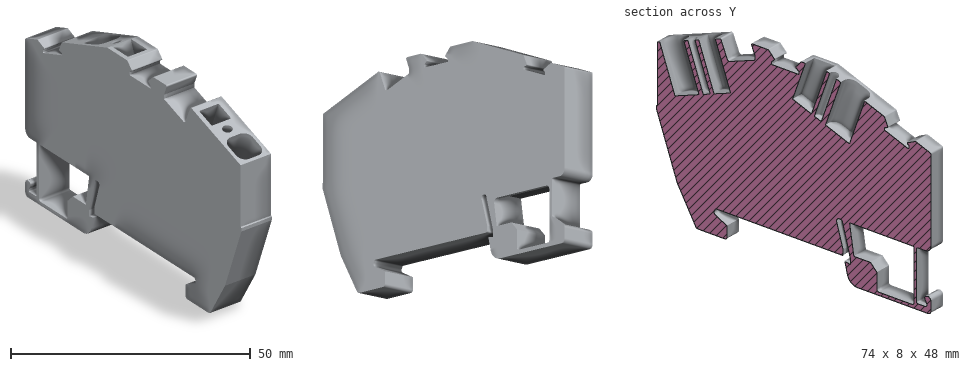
import math

import cadquery as cq

LENGTH = 74.0
WIDTH = 8.0
HEIGHT = 48.0

SLOPE = 20.0
SLOPE_RISE = math.tan(math.radians(SLOPE))
REAR_WEB = 0.9
FRONT_DEPTH = WIDTH - REAR_WEB

CREST_X = 28.15
LEFT_LEDGE_Z = 37.7
RIGHT_SHOULDER_X = 56.6
RIGHT_FACE_X = 73.75
RIGHT_FACE_Z = 40.25

LABEL_HOOK_X = 4.2
LABEL_FLOOR_LEFT_X = 6.05
LABEL_FLOOR_LEFT_Z = 36.85
LABEL_FLOOR_RIGHT_X = 12.55
LABEL_FLOOR_RIGHT_Z = LABEL_FLOOR_LEFT_Z + (LABEL_FLOOR_RIGHT_X - LABEL_FLOOR_LEFT_X) * SLOPE_RISE
TOP_SEAT_Z = 44.85
NOTCH_LEFT_X = 47.5
NOTCH_LEFT_Z = 44.4
NOTCH_RIGHT_X = 54.65
NOTCH_RIGHT_Z = NOTCH_LEFT_Z - (NOTCH_RIGHT_X - NOTCH_LEFT_X) * SLOPE_RISE

FINE_ROUND = 0.2
EDGE_ROUND = 0.3
FOOT_ROUND = 0.5

BODY_BOTTOM_Z = 14.45
SLOT_TOP_Z = 14.5
HOOK_X = 54.9
RAIL_Z = 6.25
WINDOW_FLOOR_Z = 0.87
WINDOW_BLOCK_X = 14.55
STRUT_LEFT = 3.9
STRUT_RIGHT = 4.7
LATCH_TIP_Z = 3.6
WEB_TOP_Z = 6.25
TRAY_FLOOR_Z = 1.5

OPENING_DEPTH = 12.0
ENTRY_LENGTH = 6.75
ENTRY_WIDTH = 6.4
ENTRY_RADIUS = 2.0
LEFT_ENTRY_X = 21.1
RIGHT_ENTRY_X = 69.85
TEST_HOLE_LENGTH = 2.0
TEST_HOLE_WIDTH = 2.4
LEFT_TEST_X = 26.4
RIGHT_TEST_X = 64.55
TOOL_Y = 3.6
TOOL_WIDTH = 5.1
LEFT_TOOL_START_X = CREST_X
LEFT_TOOL_LENGTH = 5.3
RIGHT_TOOL_X = 60.35
RIGHT_TOOL_LENGTH = 4.6


def left_slope_z(x):
    """Height of the left sloped face, extended beyond the crest."""
    return HEIGHT - (CREST_X - x) * SLOPE_RISE


def right_slope_z(x):
    """Height of the right sloped face."""
    return RIGHT_FACE_Z + (RIGHT_FACE_X - x) * SLOPE_RISE


def toward(corner, target, distance):
    """Point at a distance from a corner on the line to the target."""
    dx = target[0] - corner[0]
    dz = target[1] - corner[1]
    span = math.hypot(dx, dz)
    return (corner[0] + dx * distance / span, corner[1] + dz * distance / span)


def corner_arc(previous, corner, following):
    """Start, middle and end of the arc that rounds one corner (x, z, radius)."""
    radius = corner[2]
    unit_in = toward((0, 0), (previous[0] - corner[0], previous[1] - corner[1]), 1)
    unit_out = toward((0, 0), (following[0] - corner[0], following[1] - corner[1]), 1)
    half_angle = math.acos(unit_in[0] * unit_out[0] + unit_in[1] * unit_out[1]) / 2
    setback = radius / math.tan(half_angle)
    bisector = (corner[0] + unit_in[0] + unit_out[0], corner[1] + unit_in[1] + unit_out[1])
    middle = toward(corner, bisector, radius / math.sin(half_angle) - radius)
    return toward(corner, previous, setback), middle, toward(corner, following, setback)


def prism(corners, depth):
    """Extrude a closed outline of (x, z) or (x, z, radius) corners from Y = 0 to Y = depth."""
    outline = None
    for index, corner in enumerate(corners):
        if len(corner) == 2:
            outline = outline.lineTo(*corner) if outline else cq.Workplane("XZ").moveTo(*corner)
            continue
        following = corners[(index + 1) % len(corners)]
        start, middle, end = corner_arc(corners[index - 1], corner, following)
        outline = outline.lineTo(*start) if outline else cq.Workplane("XZ").moveTo(*start)
        outline = outline.threePointArc(middle, end)
    return outline.close().extrude(-depth)


def housing():
    """Full-width profile, clockwise from the left end of the upper edge."""
    label_seat_left = [
        (0, LEFT_LEDGE_Z, FOOT_ROUND),
        (LABEL_HOOK_X, LEFT_LEDGE_Z + LABEL_HOOK_X * SLOPE_RISE, FINE_ROUND),
        (6.7, 38.1, FINE_ROUND),
        (LABEL_FLOOR_LEFT_X, 37.6),
        (LABEL_FLOOR_LEFT_X, LABEL_FLOOR_LEFT_Z, FINE_ROUND),
        (LABEL_FLOOR_RIGHT_X, LABEL_FLOOR_RIGHT_Z),
        (LABEL_FLOOR_RIGHT_X, 39.75, FINE_ROUND),
        (11.5, 40.0, FINE_ROUND),
        (LABEL_FLOOR_RIGHT_X, left_slope_z(LABEL_FLOOR_RIGHT_X), EDGE_ROUND),
        (CREST_X, HEIGHT),
    ]
    label_seat_top = [
        (34.95, HEIGHT, EDGE_ROUND),
        (36.6, 46.2, FINE_ROUND),
        (35.7, 45.5),
        (35.7, TOP_SEAT_Z),
        (42.85, TOP_SEAT_Z),
        (42.85, 45.5),
        (42.0, 46.2, FINE_ROUND),
        (43.8, HEIGHT, 0.4),
    ]
    notch = [
        (48.55, HEIGHT, EDGE_ROUND),
        (NOTCH_LEFT_X, 45.4),
        (NOTCH_LEFT_X, NOTCH_LEFT_Z),
        (NOTCH_RIGHT_X, NOTCH_RIGHT_Z, FOOT_ROUND),
        (RIGHT_SHOULDER_X, right_slope_z(RIGHT_SHOULDER_X), 0.4),
        (RIGHT_FACE_X, RIGHT_FACE_Z),
    ]
    right_end = [
        (RIGHT_FACE_X, 25.5),
        (LENGTH, 25.3),
        (LENGTH, 24.5),
        (68.4, 9.0),
        (63.2, 0, 0.8),
        (HOOK_X, 0, 0.6),
        (HOOK_X, 3.3),
        (58.6, 5.1, 0.6),
        (58.0, RAIL_Z, 0.35),
    ]
    spring_slot = [
        (23.65, RAIL_Z, EDGE_ROUND),
        (23.65, 7.7),
        (25.62, SLOT_TOP_Z, 0.6),
        (24.05, SLOT_TOP_Z, 0.6),
        (21.85, 6.35),
        (21.85, 4.9),
    ]
    clamp_foot = [
        (23.3, 5.15),
        (22.1, 0, 2.9),
        (0, 0, 0.9),
        (0, LATCH_TIP_Z, 0.8),
        (STRUT_LEFT, WEB_TOP_Z, 0.8),
        (STRUT_LEFT, BODY_BOTTOM_Z, EDGE_ROUND),
        (0, BODY_BOTTOM_Z, 1.6),
    ]
    corners = label_seat_left + label_seat_top + notch + right_end + spring_slot + clamp_foot
    return prism(corners, WIDTH)


def foot_window():
    """Window through the clamp foot; a lintel stays above it at the rear."""
    lower = [
        (20.75, 7.1),
        (16.3, 7.1),
        (WINDOW_BLOCK_X, 5.3),
        (WINDOW_BLOCK_X, WINDOW_FLOOR_Z, FOOT_ROUND),
        (STRUT_RIGHT, WINDOW_FLOOR_Z, FOOT_ROUND),
    ]
    lintel_z = 13.15
    lintel_radius = 0.9
    under_lintel = [(STRUT_RIGHT, lintel_z, lintel_radius), (21.7, lintel_z, lintel_radius)]
    through = prism(under_lintel + lower, WIDTH)
    front = prism([(STRUT_RIGHT, BODY_BOTTOM_Z), (21.9, BODY_BOTTOM_Z)] + lower, FRONT_DEPTH)
    return through.union(front)


def latch_tray():
    """Recess between the latch lip and the strut, closed by the rear web."""
    above_web = 1.0
    return prism([
        (0.75, 4.1),
        (1.9, 3.7, 0.4),
        (1.7, 2.95, EDGE_ROUND),
        (1.25, 2.2, FINE_ROUND),
        (1.25, TRAY_FLOOR_Z, EDGE_ROUND),
        (STRUT_LEFT, TRAY_FLOOR_Z, EDGE_ROUND),
        (STRUT_LEFT, WEB_TOP_Z + above_web),
    ], FRONT_DEPTH)


def slope_plane(x, y, z, rise):
    """Plane on a sloped face: local x runs up or down the slope, local z points outward."""
    angle = math.radians(rise)
    return cq.Workplane(cq.Plane(
        origin=(x, y, z),
        xDir=(math.cos(angle), 0, math.sin(angle)),
        normal=(-math.sin(angle), 0, math.cos(angle)),
    ))


def conductor_entry(x, z, rise):
    """Rounded rectangular pocket, square to the slope."""
    base = slope_plane(x, WIDTH / 2, z, rise)
    depth_edges = cq.selectors.ParallelDirSelector(base.plane.zDir)
    pocket = base.rect(ENTRY_LENGTH, ENTRY_WIDTH).extrude(-OPENING_DEPTH)
    return pocket.edges(depth_edges).fillet(ENTRY_RADIUS)


def test_hole(x, z, rise):
    """Oval blind hole, square to the slope."""
    return (
        slope_plane(x, TOOL_Y, z, rise)
        .ellipse(TEST_HOLE_LENGTH / 2, TEST_HOLE_WIDTH / 2)
        .extrude(-OPENING_DEPTH)
    )


def tool_pocket(x, z, rise, length):
    """Rectangular pocket, square to the slope."""
    return slope_plane(x, TOOL_Y, z, rise).rect(length, TOOL_WIDTH).extrude(-OPENING_DEPTH)


result = housing().cut(foot_window()).cut(latch_tray())

result = result.cut(conductor_entry(LEFT_ENTRY_X, left_slope_z(LEFT_ENTRY_X), SLOPE))
result = result.cut(conductor_entry(RIGHT_ENTRY_X, right_slope_z(RIGHT_ENTRY_X), -SLOPE))
result = result.cut(test_hole(LEFT_TEST_X, left_slope_z(LEFT_TEST_X), SLOPE))
result = result.cut(test_hole(RIGHT_TEST_X, right_slope_z(RIGHT_TEST_X), -SLOPE))

left_tool_x = LEFT_TOOL_START_X + LEFT_TOOL_LENGTH / 2 * math.cos(math.radians(SLOPE))
result = result.cut(tool_pocket(left_tool_x, left_slope_z(left_tool_x), SLOPE, LEFT_TOOL_LENGTH))
result = result.cut(tool_pocket(RIGHT_TOOL_X, right_slope_z(RIGHT_TOOL_X), -SLOPE, RIGHT_TOOL_LENGTH))